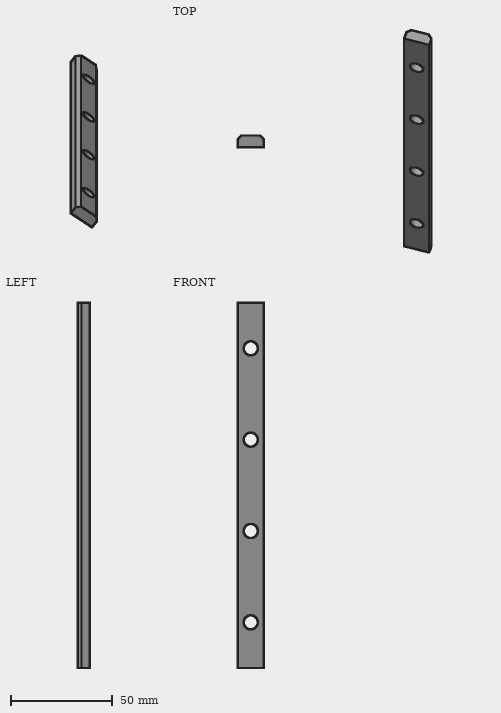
import cadquery as cq

length = 180.0
width = 13.0
thickness = 6.0

chamfer = 2.0

hole_count = 4
hole_diameter = 6.8
hole_pitch = length / hole_count

bar = cq.Workplane("XY").box(width, thickness, length)
bar = bar.faces(">Y").edges("|Z").chamfer(chamfer)

result = (
    bar.faces("<Y")
    .workplane(centerOption="CenterOfBoundBox")
    .rarray(width, hole_pitch, 1, hole_count)
    .hole(hole_diameter)
)